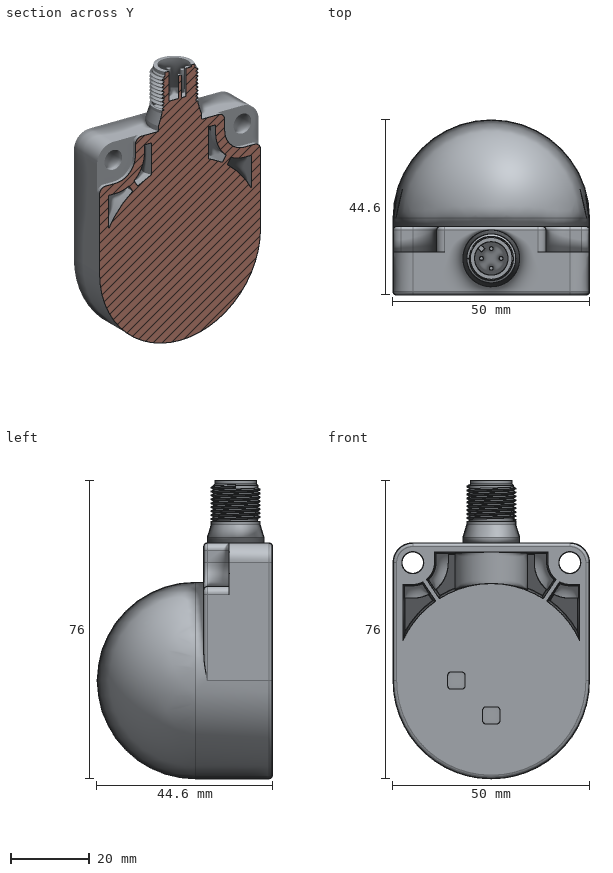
import cadquery as cq
import math


dome_radius = 25.0
dome_center_y = 19.6
plate_depth = 17.5
plate_top = 35.0
corner_radius = 5.0
edge_round = 0.9
wall = 1.0

hole_diameter = 5.5
hole_x = dome_radius - corner_radius
hole_z = plate_top - corner_radius
ear_depth = 11.0
scoop_radius = 6.1
scoop_rim_round = 2.0

pocket_side_x = 22.5
pocket_top = 32.7
pocket_draft = 2.0
disk_radius = 24.7
boss_radius = 5.55
rib_thickness = 1.15
pocket_depth = plate_depth - wall
shallow_depth = ear_depth - wall
collar_radius = 9.3

window_size = 4.4
window_corner = 0.9
window_depth = 0.15
window_offset = 8.9

overall_height = 76.0
connector_y = 9.35
tip_z = overall_height - dome_radius
tip_radius = 5.3
tip_length = 1.0
flange_radius = 7.2
flange_top = 36.5
cone_top = 39.7
neck_top = 40.5
crest_radius = 6.2
root_radius = 5.6
thread_pitch = 1.0
thread_start = neck_top + 0.4
thread_turns = 8.5
thread_root_width = 0.9 * thread_pitch
thread_crest_width = 0.12 * thread_pitch
thread_embed = 0.1
bore_radius = 4.25
bore_depth = 8.35
pin_radius = 0.495
pin_circle = 2.5
pin_length = 6.4
key_width = 1.2
key_reach = 2.9
key_drop = 0.5
key_angle = 135

OVERLAP = 0.75
PICK = 0.1


def front_box(x_min, x_max, z_min, z_max, y_min, y_max):
    size = (x_max - x_min, y_max - y_min, z_max - z_min)
    return cq.Workplane("XY").box(*size, centered=False).translate((x_min, y_min, z_min))


def disk(radius, x, z, y_min, y_max):
    solid = cq.Solid.makeCylinder(radius, y_max - y_min, cq.Vector(x, y_min, z), cq.Vector(0, 1, 0))
    return cq.Workplane(solid)


def mirrored(solid):
    return solid.union(solid.mirror("YZ"))


def corner_zone(radius, y_min, y_max):
    """Quadrant running from the left hole to the plate corner, grown by a radius."""
    reach = corner_radius + OVERLAP
    side = front_box(-hole_x - reach, -hole_x, hole_z - radius, hole_z + reach, y_min, y_max)
    top = front_box(-hole_x - reach, -hole_x + radius, hole_z, hole_z + reach, y_min, y_max)
    return side.union(top).union(disk(radius, -hole_x, hole_z, y_min, y_max))


def plate():
    block = front_box(-dome_radius, dome_radius, 0, plate_top, 0, plate_depth)
    block = block.edges("|Y and >Z").fillet(corner_radius)
    block = block.cut(mirrored(corner_zone(scoop_radius, ear_depth, plate_depth + OVERLAP)))
    ledge_z = hole_z - scoop_radius
    ledge = cq.selectors.BoxSelector(
        (-dome_radius - OVERLAP, ear_depth, ledge_z - PICK),
        (dome_radius + OVERLAP, plate_depth, ledge_z + PICK))
    block = block.edges(ledge).edges("|Y").edges("<X or >X").fillet(scoop_rim_round)
    step_x = hole_x - scoop_radius
    step = cq.selectors.BoxSelector(
        (-step_x - PICK, ear_depth, plate_top - PICK),
        (step_x + PICK, plate_depth, plate_top + PICK))
    block = block.edges(step).edges("|Y").fillet(scoop_rim_round)
    return block.faces(">Y").edges("not <Z").fillet(edge_round)


def housing():
    drum = disk(dome_radius, 0, 0, 0, dome_center_y)
    dome = cq.Workplane("XY").sphere(dome_radius).translate((0, dome_center_y, 0))
    back_half = front_box(-dome_radius, dome_radius, -dome_radius, dome_radius,
                          dome_center_y, dome_center_y + dome_radius)
    body = plate().union(drum).union(dome.intersect(back_half))
    return body.faces("<Y").edges().fillet(edge_round)


def pockets():
    field = front_box(-pocket_side_x, pocket_side_x, 0, pocket_top, 0, pocket_depth)
    field = field.cut(disk(disk_radius, 0, 0, 0, pocket_depth))
    hole_distance = math.hypot(hole_x, hole_z)
    rib_angle = math.degrees(math.atan2(hole_x, hole_z))
    rib = front_box(-rib_thickness / 2, rib_thickness / 2, 0, hole_distance, 0, pocket_depth)
    rib = rib.rotate((0, 0, 0), (0, 1, 0), -rib_angle)
    boss = corner_zone(boss_radius, 0, pocket_depth)
    mouths = field.cut(mirrored(rib.union(boss))).faces("<Y").wires().vals()
    mouth_plane = cq.Plane(origin=(0, 0, 0), xDir=(1, 0, 0), normal=(0, 1, 0))
    drafted = cq.Workplane(mouth_plane)
    for mouth in mouths:
        pocket = cq.Workplane(mouth_plane).add(mouth).toPending()
        drafted = drafted.union(pocket.extrude(pocket_depth, taper=pocket_draft))
    behind_scoop = corner_zone(scoop_radius + scoop_rim_round + wall, shallow_depth, pocket_depth)
    collar = cq.Workplane("XY").center(0, connector_y).circle(collar_radius).extrude(plate_top)
    return drafted.cut(mirrored(behind_scoop)).cut(collar)


def window(x, z):
    half = window_size / 2
    recess = front_box(-half, half, -half, half, 0, window_depth)
    return recess.edges("|Y").fillet(window_corner).translate((x, 0, z))


def thread():
    path = cq.Wire.makeHelix(thread_pitch, thread_turns * thread_pitch, root_radius)
    root_half = thread_root_width / 2
    crest_half = thread_crest_width / 2
    inner = root_radius - thread_embed
    profile = cq.Workplane("XZ").polyline([
        (inner, -root_half), (crest_radius, -crest_half),
        (crest_radius, crest_half), (inner, root_half)]).close()
    return profile.sweep(cq.Workplane(path), isFrenet=True).translate((0, 0, thread_start))


def connector():
    shoulder_z = tip_z - tip_length
    outline = [
        (0, plate_top - OVERLAP), (flange_radius, plate_top - OVERLAP), (flange_radius, flange_top),
        (crest_radius, cone_top), (crest_radius, neck_top), (root_radius, neck_top),
        (root_radius, shoulder_z - root_radius + tip_radius), (tip_radius, shoulder_z),
        (tip_radius, tip_z), (0, tip_z)]
    plug = cq.Workplane("XZ").polyline(outline).close().revolve(360, (0, 0, 0), (0, 1, 0))
    plug = plug.union(thread())
    floor_z = tip_z - bore_depth
    plug = plug.cut(cq.Workplane("XY", origin=(0, 0, floor_z)).circle(bore_radius).extrude(bore_depth))
    pins = cq.Workplane("XY", origin=(0, 0, floor_z - OVERLAP)).polarArray(pin_circle, 0, 360, 4)
    plug = plug.union(pins.circle(pin_radius).extrude(pin_length + OVERLAP))
    key_length = (bore_radius + tip_radius) / 2 - key_reach
    key = cq.Workplane("XY", origin=(key_reach + key_length / 2, 0, floor_z)).rect(key_length, key_width)
    key = key.extrude(bore_depth - key_drop).rotate((0, 0, 0), (0, 0, 1), key_angle)
    return plug.union(key).translate((0, connector_y, 0))


result = housing().cut(pockets())
for side in (-1, 1):
    result = result.cut(disk(hole_diameter / 2, side * hole_x, hole_z, 0, plate_depth))
result = result.cut(window(-window_offset, 0)).cut(window(0, -window_offset))
result = result.union(connector())